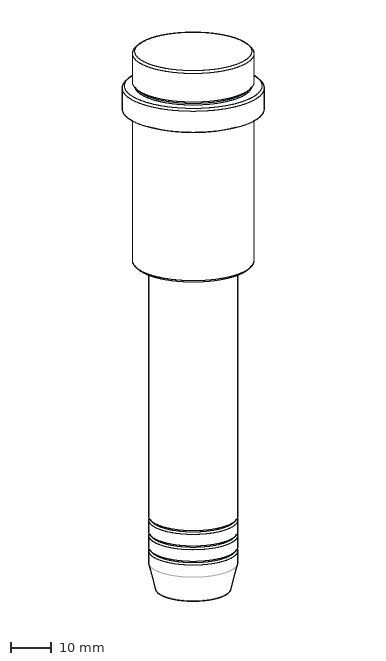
import cadquery as cq
import math

total_length = 140.0
flange_diameter = 35.0
body_diameter = 30.0
shank_diameter = 22.0

flange_top_depth = 9.0
flange_thickness = 6.0
body_end_depth = 55.0

relief_width = 1.0
relief_depth = 0.5
neck_depth = 0.8
edge_chamfer = 0.5

groove_count = 3
first_groove_height = 10.6
last_groove_height = 18.6
groove_width = 1.0
groove_depth = 0.4

taper_length = 7.0
taper_angle = 14.0
tip_fillet = 0.4

flange_top = total_length - flange_top_depth
flange_bottom = flange_top - flange_thickness
groove_pitch = (last_groove_height - first_groove_height) / (groove_count - 1)
body_bottom = total_length - body_end_depth


def cylinder(diameter, bottom, top):
    return cq.Workplane("XY").workplane(offset=bottom).circle(diameter / 2).extrude(top - bottom)


def cut_ring(part, diameter, depth, bottom, width):
    """Cut a square groove of the given depth into a cylinder of the given diameter."""
    outer = cylinder(flange_diameter, bottom, bottom + width)
    core = cylinder(diameter - 2 * depth, bottom, bottom + width)
    return part.cut(outer.cut(core))


def revolve_profile(points):
    """Revolve a closed outline of (radius, height) points about the Z axis."""
    return cq.Workplane("XZ").polyline(points).close().revolve(360, (0, 0), (0, 1))


def make_oil_groove(center):
    """V-shaped ring that opens at the shank surface."""
    shank_radius = shank_diameter / 2
    return revolve_profile([
        (shank_radius, center - groove_width / 2),
        (shank_radius - groove_depth, center),
        (shank_radius, center + groove_width / 2),
    ])


def make_shank():
    tip_radius = shank_diameter / 2 - taper_length * math.tan(math.radians(taper_angle))
    tip = (
        cq.Workplane("XY")
        .circle(tip_radius)
        .workplane(offset=taper_length)
        .circle(shank_diameter / 2)
        .loft()
        .faces("<Z")
        .edges()
        .fillet(tip_fillet)
    )
    shank = tip.union(cylinder(shank_diameter, taper_length, body_bottom))
    for index in range(groove_count):
        center = first_groove_height + index * groove_pitch
        shank = shank.cut(make_oil_groove(center))
    return cut_ring(shank, shank_diameter, neck_depth, body_bottom - relief_width, relief_width)


def make_relief(shoulder, away):
    """Ring beside a flange shoulder, with a 45 degree slope out to the body surface."""
    body_radius = body_diameter / 2
    floor_radius = body_radius - relief_depth
    floor_end = shoulder + away * (relief_width - relief_depth)
    slope_end = shoulder + away * relief_width
    profile = [
        (floor_radius, shoulder),
        (floor_radius, floor_end),
        (body_radius, slope_end),
        (body_radius, shoulder),
    ]
    return revolve_profile(profile)


def make_body():
    body = cylinder(body_diameter, body_bottom, total_length)
    body = body.faces("<Z or >Z").edges().chamfer(edge_chamfer)
    for shoulder, away in ((flange_top, 1), (flange_bottom, -1)):
        body = body.cut(make_relief(shoulder, away))
    return body


def make_flange():
    return cylinder(flange_diameter, flange_bottom, flange_top).faces(">Z").edges().chamfer(edge_chamfer)


result = make_shank().union(make_body()).union(make_flange())